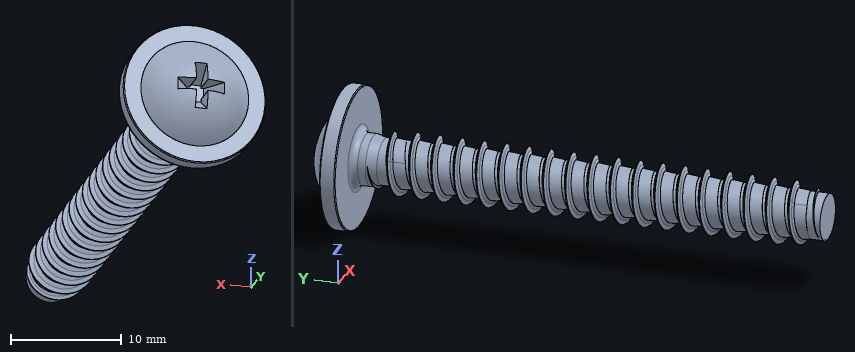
import cadquery as cq
import math


collar_diameter = 13.5
collar_thickness = 1.5
collar_edge_chamfer = 0.1
dome_diameter = 10.2
head_height = 3.96
dome_height = head_height - collar_thickness

recess_wing_width = 1.1
recess_diameter = 5.0
recess_bottom_diameter = 1.6
recess_depth = 2.4

shank_length = 45.0
neck_radius = 2.43
neck_length = 1.45
neck_fillet = 0.7
neck_cone_length = 1.0
core_radius = 2.2

pitch = 2.14
crest_radius = 3.03
crest_half_width = 0.05
flank_break_radius = 2.62
flank_break_half_width = 0.18
foot_half_width = 0.42
buried_depth = 0.15
foot_radius = core_radius - buried_depth
crest_tip_distance = 3.76
crest_crossing_height = crest_tip_distance - shank_length
thread_tip_gap = 0.15
thread_collar_gap = 0.85
thread_bottom = thread_tip_gap - shank_length
thread_top = -thread_collar_gap
fade_length = 2.8
end_scale = 0.1
points_per_turn = 24

ramp_low_radius = 2.22
ramp_high_radius = 2.33
ramp_high_half_width = 0.33
ramp_start_gap = 0.63
ramp_low_offset = ramp_start_gap - pitch


def make_body():
    """Revolved solid: dome, collar, filleted neck, cone and cylindrical core."""
    collar_radius = collar_diameter / 2
    dome_radius = dome_diameter / 2
    sphere_radius = (dome_radius**2 + dome_height**2) / (2 * dome_height)
    sphere_center = head_height - sphere_radius
    mid_angle = math.asin(dome_radius / sphere_radius) / 2
    dome_middle = (
        sphere_radius * math.sin(mid_angle),
        sphere_center + sphere_radius * math.cos(mid_angle),
    )
    fillet_reach = neck_fillet * (1 - math.sqrt(0.5))
    outline = (
        cq.Workplane("XZ")
        .moveTo(0, -shank_length)
        .lineTo(core_radius, -shank_length)
        .lineTo(core_radius, -neck_length - neck_cone_length)
        .lineTo(neck_radius, -neck_length)
        .lineTo(neck_radius, -neck_fillet)
        .threePointArc((neck_radius + fillet_reach, -fillet_reach), (neck_radius + neck_fillet, 0))
        .lineTo(collar_radius - collar_edge_chamfer, 0)
        .lineTo(collar_radius, collar_edge_chamfer)
        .lineTo(collar_radius, collar_thickness - collar_edge_chamfer)
        .lineTo(collar_radius - collar_edge_chamfer, collar_thickness)
        .lineTo(dome_radius, collar_thickness)
        .threePointArc(dome_middle, (0, head_height))
        .close()
    )
    return outline.revolve(360, (0, 0, 0), (0, 1, 0))


def make_recess():
    """Two crossed wings, each narrowing in length towards the bottom of the recess."""
    wing_outline = [
        (-recess_diameter / 2, head_height),
        (recess_diameter / 2, head_height),
        (recess_bottom_diameter / 2, head_height - recess_depth),
        (-recess_bottom_diameter / 2, head_height - recess_depth),
    ]
    wing = cq.Workplane("XZ").polyline(wing_outline).close().extrude(recess_wing_width / 2, both=True)
    return wing.union(wing.rotate((0, 0, 0), (0, 0, 1), 90))


def thread_scale(height):
    """Size of the thread profile at a height: full in the middle, small at the two ends."""
    distance_to_end = min(height - thread_bottom, thread_top - height)
    return min(1.0, end_scale + (1 - end_scale) * distance_to_end / fade_length)


def thread_rail(radius, offset, bottom, top):
    """Helical edge followed by one corner of the thread profile between two heights."""
    steps = math.ceil((top - bottom) / pitch * points_per_turn)
    points = []
    for step in range(steps + 1):
        height = bottom + (top - bottom) * step / steps
        scale = thread_scale(height)
        angle = 2 * math.pi * (height - crest_crossing_height) / pitch
        rail_radius = foot_radius + scale * (radius - foot_radius)
        points.append(
            cq.Vector(
                rail_radius * math.cos(angle),
                rail_radius * math.sin(angle),
                height + scale * offset,
            )
        )
    return cq.Edge.makeSpline(points)


def make_thread_section(bottom, top):
    """Closed length of helical ridge and ramp with its foot buried in the core."""
    corners = [
        (foot_radius, ramp_low_offset),
        (ramp_low_radius, ramp_low_offset),
        (ramp_high_radius, -ramp_high_half_width),
        (flank_break_radius, -flank_break_half_width),
        (crest_radius, -crest_half_width),
        (crest_radius, crest_half_width),
        (flank_break_radius, flank_break_half_width),
        (foot_radius, foot_half_width),
    ]
    rails = [thread_rail(radius, offset, bottom, top) for radius, offset in corners]
    faces = []
    for index, rail in enumerate(rails):
        faces.append(cq.Face.makeRuledSurface(rails[index - 1], rail))
    for end in (0, 1):
        end_points = [rail.positionAt(end) for rail in rails]
        faces.append(cq.Face.makeFromWires(cq.Wire.makePolygon(end_points, close=True)))
    return cq.Solid.makeSolid(cq.Shell.makeShell(faces))


screw = make_body().cut(make_recess())
section_heights = [
    thread_bottom,
    thread_bottom + fade_length,
    thread_top - fade_length,
    thread_top,
]
for bottom, top in zip(section_heights, section_heights[1:]):
    screw = screw.union(cq.Workplane("XY").add(make_thread_section(bottom, top)))
result = screw.rotate((0, 0, 0), (1, 0, 0), -90).solids()